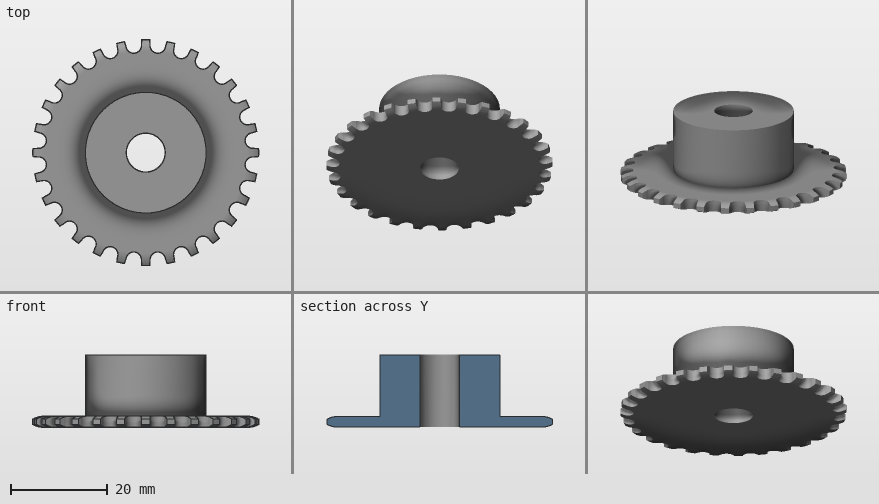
import cadquery as cq
import math


outer_diameter = 46.8
total_height = 15.0
plate_thickness = 2.35
hub_diameter = 25.0
bore_diameter = 8.0

tooth_count = 28
pitch_diameter = 44.65
seat_diameter = 3.2
tip_gap_width = 3.55

flat_face_diameter = 42.1
tip_thickness = 1.08

outer_radius = outer_diameter / 2
pitch_radius = pitch_diameter / 2
seat_radius = seat_diameter / 2
tooth_angle = 360 / tooth_count


def face_arc_middle(flat_radius, drop):
    """Middle point of the upper rim arc, which starts level with the top face."""
    reach = outer_radius - flat_radius
    arc_radius = (reach**2 + drop**2) / (2 * drop)
    half_sweep = math.asin(reach / arc_radius) / 2
    return (
        flat_radius + arc_radius * math.sin(half_sweep),
        plate_thickness - arc_radius * (1 - math.cos(half_sweep)),
    )


def sprocket_blank():
    """Disc with both rim faces falling away on arcs tangent to the flat faces."""
    flat_radius = flat_face_diameter / 2
    tip_bottom = (plate_thickness - tip_thickness) / 2
    tip_top = plate_thickness - tip_bottom
    profile = (
        cq.Workplane("XZ")
        .lineTo(flat_radius, 0)
        .tangentArcPoint((outer_radius, tip_bottom), relative=False)
        .lineTo(outer_radius, tip_top)
        .threePointArc(face_arc_middle(flat_radius, tip_bottom), (flat_radius, plate_thickness))
        .lineTo(0, plate_thickness)
        .close()
    )
    return profile.revolve(360, (0, 0, 0), (0, 1, 0))


def tooth_gap(angle):
    """Cutter for one gap: a round roller seat opening outwards between straight flanks."""
    gap_end = outer_radius * math.cos(math.radians(tooth_angle / 2))
    beyond_rim = gap_end + seat_radius
    gap = (
        cq.Workplane("XY")
        .moveTo(pitch_radius, -seat_radius)
        .threePointArc((pitch_radius - seat_radius, 0), (pitch_radius, seat_radius))
        .lineTo(gap_end, tip_gap_width / 2)
        .lineTo(beyond_rim, tip_gap_width / 2)
        .lineTo(beyond_rim, -tip_gap_width / 2)
        .lineTo(gap_end, -tip_gap_width / 2)
        .close()
        .extrude(plate_thickness)
    )
    return gap.rotate((0, 0, 0), (0, 0, 1), angle)


sprocket = sprocket_blank()
for index in range(tooth_count):
    sprocket = sprocket.cut(tooth_gap((index + 0.5) * tooth_angle))

hub = cq.Workplane("XY").circle(hub_diameter / 2).extrude(total_height)
bore = cq.Workplane("XY").circle(bore_diameter / 2).extrude(total_height)

result = sprocket.union(hub).cut(bore)